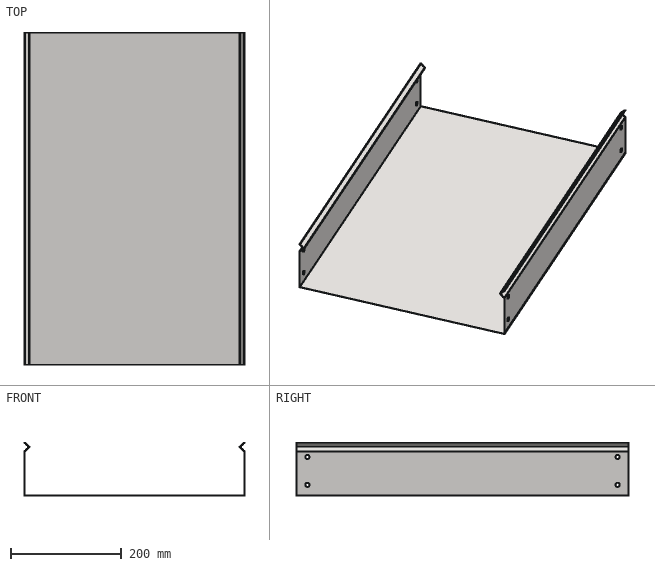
import cadquery as cq
import math

width = 398.0
length = 600.0
height = 96.0
sheet = 1.0

lip_depth = 8.0

hole_diameter = 7.0
hole_end_distance = 20.0
hole_heights = (20.0, 70.0)

fold_width = sheet * math.sqrt(2)
wall_bend_shift = sheet * math.tan(math.radians(22.5))

half_width = width / 2
tip_z = height - lip_depth
wall_top = tip_z - lip_depth


def half_profile():
    """Cross-section of the right half, closed along the centre plane."""
    fold_x = half_width - lip_depth
    return (
        cq.Workplane("XZ")
        .moveTo(0, 0)
        .lineTo(half_width, 0)
        .lineTo(half_width, wall_top)
        .lineTo(fold_x, tip_z)
        .lineTo(half_width, height)
        .lineTo(half_width - fold_width, height)
        .lineTo(fold_x - fold_width, tip_z)
        .lineTo(half_width - sheet, wall_top - wall_bend_shift)
        .lineTo(half_width - sheet, sheet)
        .lineTo(0, sheet)
        .close()
    )


def folded_tray():
    """Sheet tray extruded along Y, with both walls mirror images."""
    half = half_profile().extrude(length / 2, both=True)
    return half.union(half.mirror("YZ"))


def wall_holes():
    """Drills along X that pass through both walls near each end."""
    hole_y = length / 2 - hole_end_distance
    centres = [(y, z) for y in (-hole_y, hole_y) for z in hole_heights]
    return (
        cq.Workplane("YZ")
        .pushPoints(centres)
        .circle(hole_diameter / 2)
        .extrude(width, both=True)
    )


result = folded_tray().cut(wall_holes())